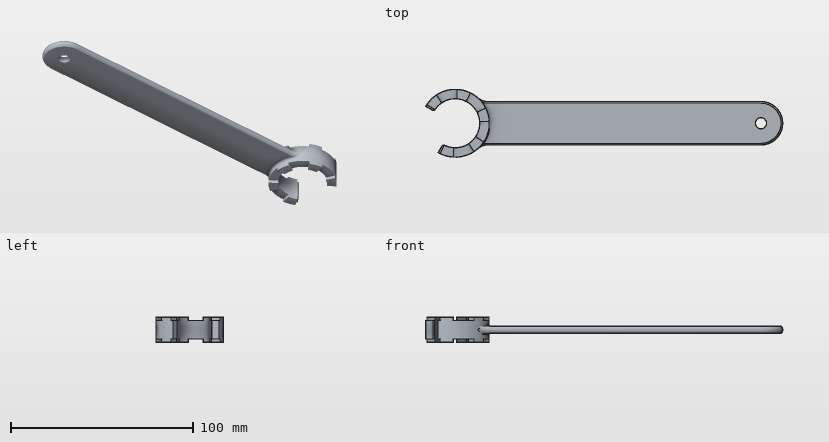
import cadquery as cq
import math

ring_outer_radius = 18.7
ring_inner_radius = 13.4
ring_start_angle = -120.3
ring_end_angle = 150.3
core_height = 10.4
tip_chamfer = 0.7

overall_height = 14
tooth_pitch = 60
tooth_width_angle = 23
first_tooth_angle = -105
tooth_count = 5

handle_width = 24
handle_thickness = 4
handle_end_x = 180
handle_side_bulge = 1
hole_diameter = 6
hole_edge_radius = 0.5

flare_radius = 8
joint_radius = 0.5

full_turn = 360
match_tolerance = 0.01

handle_half_width = handle_width / 2
handle_half_thickness = handle_thickness / 2
hole_x = handle_end_x - handle_half_width
cutter_size = 10 * ring_outer_radius


def polar(radius, angle):
    """Point at a radius and an angle in degrees from +X."""
    radians = math.radians(angle)
    return radius * math.cos(radians), radius * math.sin(radians)


def wedge(start_angle, end_angle):
    """Kite-shaped prism from the axis that covers the ring between two angles."""
    half_angle = (end_angle - start_angle) / 2
    side_length = 2 * ring_outer_radius
    tip_length = side_length / math.cos(math.radians(half_angle))
    return (
        cq.Workplane("XY")
        .moveTo(0, 0)
        .lineTo(*polar(side_length, start_angle))
        .lineTo(*polar(tip_length, start_angle + half_angle))
        .lineTo(*polar(side_length, end_angle))
        .close()
        .extrude(overall_height, both=True)
    )


def make_head():
    """Open ring with chamfered tips and teeth left standing between notches in both faces."""
    ring = (
        cq.Workplane("XY")
        .circle(ring_outer_radius)
        .circle(ring_inner_radius)
        .extrude(overall_height / 2, both=True)
        .rotate((0, 0, 0), (0, 0, 1), 180)
    )
    core_slab = cq.Workplane("XY").box(cutter_size, cutter_size, core_height)
    for index in range(tooth_count):
        notch_start = first_tooth_angle + index * tooth_pitch + tooth_width_angle / 2
        notch_end = notch_start + tooth_pitch - tooth_width_angle
        if index == tooth_count - 1:
            notch_end = first_tooth_angle - tooth_width_angle / 2 + full_turn
        ring = ring.cut(wedge(notch_start, notch_end).cut(core_slab))
    ring = ring.cut(wedge(ring_end_angle, ring_start_angle + full_turn))
    for tip_angle in (ring_start_angle, ring_end_angle):
        inner_corner = polar(ring_inner_radius, tip_angle)
        ring = ring.edges(cq.selectors.NearestToPointSelector((*inner_corner, 0))).chamfer(tip_chamfer)
    return ring


def bulged_profile(plane, inner_edge, flat_edge, bulge_edge):
    """Slab section from a straight inner edge to a side that bulges past the flat faces."""
    return (
        cq.Workplane(plane)
        .moveTo(inner_edge, -handle_half_thickness)
        .lineTo(flat_edge, -handle_half_thickness)
        .threePointArc((bulge_edge, 0), (flat_edge, handle_half_thickness))
        .lineTo(inner_edge, handle_half_thickness)
        .close()
    )


def make_flare():
    """Handle section swept round a concave arc that runs tangent into the ring, on the +Y side."""
    centre_distance = ring_outer_radius + flare_radius
    centre_y = handle_half_width + flare_radius
    centre_x = math.sqrt(centre_distance**2 - centre_y**2)
    sweep_angle = math.degrees(math.asin(centre_x / centre_distance))
    return (
        bulged_profile("XZ", centre_y, flare_radius + handle_side_bulge, flare_radius)
        .revolve(sweep_angle, (0, 0), (0, -1))
        .rotate((0, 0, 0), (0, 0, 1), -90)
        .translate((centre_x, centre_y, 0))
    )


def make_handle():
    """Round-ended bar with bulged sides and a hanging hole, kept clear of the ring bore."""
    half_section = ("YZ", 0, handle_half_width - handle_side_bulge, handle_half_width)
    half_bar = bulged_profile(*half_section).extrude(hole_x).union(make_flare())
    round_end = bulged_profile(*half_section).revolve(180, (0, 0), (0, -1)).translate((hole_x, 0, 0))
    bar = half_bar.union(half_bar.mirror("XZ")).union(round_end).clean()
    hole = cq.Workplane("XY").center(hole_x, 0).circle(hole_diameter / 2)
    bar = bar.cut(hole.extrude(handle_thickness, both=True))
    rims = cq.selectors.BoxSelector(
        (hole_x - hole_diameter, -hole_diameter, -handle_thickness),
        (hole_x + hole_diameter, hole_diameter, handle_thickness),
    )
    bar = bar.edges(rims).edges("%CIRCLE").fillet(hole_edge_radius)
    ring_space = cq.Workplane("XY").circle((ring_inner_radius + ring_outer_radius) / 2)
    return bar.cut(ring_space.extrude(overall_height, both=True))


def joint_edges(body):
    """Edges where the handle meets the outside of the ring."""
    found = []
    for edge in body.edges().vals():
        middle = edge.positionAt(0.5)
        on_ring = abs(math.hypot(middle.x, middle.y) - ring_outer_radius) < match_tolerance
        within_handle = abs(middle.z) < handle_half_thickness + match_tolerance
        if on_ring and middle.x > 0 and within_handle:
            found.append(edge)
    return found


body = make_head().union(make_handle())
result = body.newObject(joint_edges(body)).fillet(joint_radius).solids()